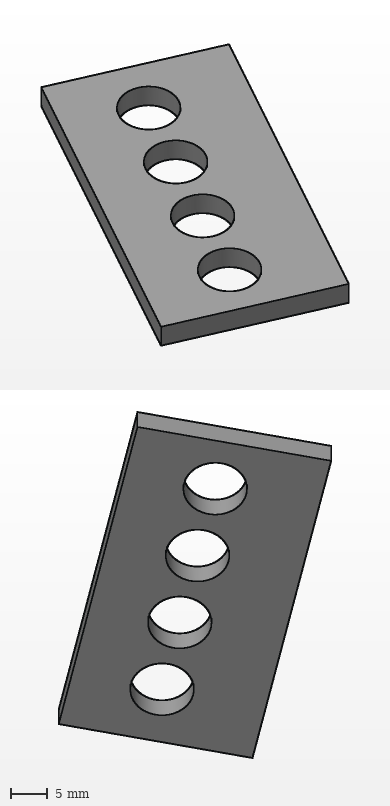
import cadquery as cq

length = 50.8
width = 26.9
thickness = 3.5

hole_diameter = 8.65
hole_count = 4
hole_pitch = 11.45
first_hole_from_left = 8.65
row_from_front = 12.5

hole_centers = [
    (first_hole_from_left + index * hole_pitch, row_from_front)
    for index in range(hole_count)
]

plate = cq.Workplane("XY").box(length, width, thickness, centered=False)
holes = (
    cq.Workplane("XY")
    .pushPoints(hole_centers)
    .circle(hole_diameter / 2)
    .extrude(thickness)
)

result = plate.cut(holes)